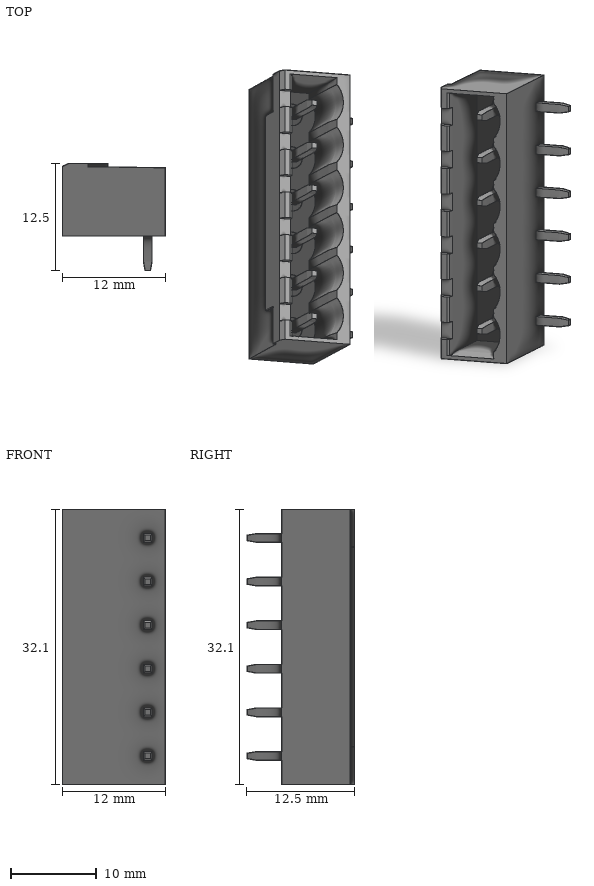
import cadquery as cq
import math

LENGTH = 12.0
DEPTH = 8.5
HEIGHT = 32.08

RIDGE_END = 2.98
LATCH_END = 5.33
RIDGE_STEP = 0.42
LATCH_CHAMFER = 0.1
BACK_TAPER = 0.1
NOSE_LENGTH = 0.75
NOSE_DROP = 0.35

PIN_COUNT = 6
PIN_SPAN = 25.4
PITCH = PIN_SPAN / (PIN_COUNT - 1)
PIN_SIZE = 1.03
PIN_TIP_SIZE = 0.65
PIN_TAPER = 1.05
CONTACT_Y = 3.9
CONTACT_TIP_X = 1.3
TAIL_X = 9.95
TAIL_LENGTH = 4.0

CAVITY_DEPTH = 8.65
CAVITY_MIN_Y = 1.83
CAVITY_MAX_Y = 7.1
CAVITY_END_WALL = 0.65
SCALLOP_RADIUS = 2.9
MOUTH_GROWTH = 0.2
MOUTH_DEPTH = 2.12
LIP_RISE = 0.4
LIP_TAPER = 0.13
LIP_BEVEL = 0.13
LIP_LENGTH = 0.85
SEAT_RADIUS = 1.28
SEAT_DEPTH = 0.1

SLOT_WIDTH = 2.05
SLOT_DEPTH = LIP_LENGTH

pin_levels = [HEIGHT / 2 + (i - (PIN_COUNT - 1) / 2) * PITCH for i in range(PIN_COUNT)]


def box(x0, x1, y0, y1, z0, z1):
    """Block between two opposite corners."""
    return cq.Workplane("XY").box(x1 - x0, y1 - y0, z1 - z0, centered=False).translate((x0, y0, z0))


def housing():
    """Outer block with the bevelled ridge, plus the longer latch ridge between the ends."""
    step_y = DEPTH - RIDGE_STEP
    block = (
        cq.Workplane("XY")
        .polyline([
            (0, 0),
            (LENGTH, 0),
            (LENGTH, step_y - BACK_TAPER),
            (LATCH_END, step_y),
            (RIDGE_END, step_y),
            (RIDGE_END, DEPTH),
            (NOSE_LENGTH, DEPTH),
            (0, DEPTH - NOSE_DROP),
        ])
        .close()
        .extrude(HEIGHT)
    )
    latch_start = pin_levels[0] + SLOT_WIDTH / 2
    latch_end = pin_levels[-1] - SLOT_WIDTH / 2
    latch = box(RIDGE_END, LATCH_END, CAVITY_MAX_Y, DEPTH, latch_start, latch_end)
    latch = latch.faces("|Z").edges(">X or >Y").chamfer(LATCH_CHAMFER)
    return block.union(latch)


def cavity_outline(x, growth):
    """Closed outline at depth x: a rectangle scalloped around every contact along its low-Y side."""
    low_y = CAVITY_MIN_Y - growth
    low_z = CAVITY_END_WALL - growth
    radius = SCALLOP_RADIUS + growth
    half_chord = math.sqrt(radius**2 - (CONTACT_Y - low_y) ** 2)
    outline = cq.Workplane("YZ", origin=(x, 0, 0)).moveTo(CAVITY_MAX_Y, low_z).lineTo(low_y, low_z)
    for z in pin_levels:
        outline = (
            outline.lineTo(low_y, z - half_chord)
            .threePointArc((CONTACT_Y - radius, z), (low_y, z + half_chord))
        )
    return outline.lineTo(low_y, HEIGHT - low_z).lineTo(CAVITY_MAX_Y, HEIGHT - low_z).close()


def cavity():
    """Straight inner pocket, flared mouth, bevelled lip and a shallow round seat at each contact."""
    pocket = cavity_outline(MOUTH_DEPTH, 0).extrude(CAVITY_DEPTH - MOUTH_DEPTH)
    mouth_wires = [cavity_outline(0, MOUTH_GROWTH).val(), cavity_outline(MOUTH_DEPTH, 0).val()]
    mouth = cq.Workplane(obj=cq.Solid.makeLoft(mouth_wires, True))
    lip_wall = CAVITY_END_WALL - MOUTH_GROWTH
    lip = (
        cq.Workplane("XY", origin=(0, 0, lip_wall))
        .moveTo(0, CAVITY_MAX_Y)
        .lineTo(0, CAVITY_MAX_Y + LIP_RISE)
        .lineTo(LIP_BEVEL, CAVITY_MAX_Y + LIP_TAPER)
        .lineTo(LIP_LENGTH, CAVITY_MAX_Y)
        .close()
        .extrude(HEIGHT - 2 * lip_wall)
    )
    seats = (
        cq.Workplane("YZ", origin=(CAVITY_DEPTH, 0, 0))
        .pushPoints([(CONTACT_Y, z) for z in pin_levels])
        .circle(SEAT_RADIUS)
        .extrude(SEAT_DEPTH)
    )
    return pocket.union(mouth).union(lip).union(seats)


def coding_slot(z):
    """Slot from the open face, through the wall into the cavity."""
    return box(0, SLOT_DEPTH, CAVITY_MAX_Y, DEPTH, z - SLOT_WIDTH / 2, z + SLOT_WIDTH / 2)


def tapered_pin(plane, length):
    """Square pin grown along the plane normal, ending in a tapered tip."""
    shank_length = length - PIN_TAPER
    shank = cq.Workplane(plane).rect(PIN_SIZE, PIN_SIZE).extrude(shank_length)
    tip = (
        cq.Workplane(plane)
        .workplane(offset=shank_length)
        .rect(PIN_SIZE, PIN_SIZE)
        .workplane(offset=PIN_TAPER)
        .rect(PIN_TIP_SIZE, PIN_TIP_SIZE)
        .loft()
    )
    return shank.union(tip)


def bent_pin(z):
    """Contact reaching towards the open face and solder tail, joined at a right angle in the housing."""
    corner = (TAIL_X, CONTACT_Y, z)
    contact = tapered_pin(cq.Plane(corner, (0, 1, 0), (-1, 0, 0)), TAIL_X - CONTACT_TIP_X)
    tail = tapered_pin(cq.Plane(corner, (1, 0, 0), (0, -1, 0)), CONTACT_Y + TAIL_LENGTH)
    return contact.union(tail)


result = housing().cut(cavity())
for level in pin_levels:
    result = result.cut(coding_slot(level))
for level in pin_levels:
    result = result.union(bent_pin(level))